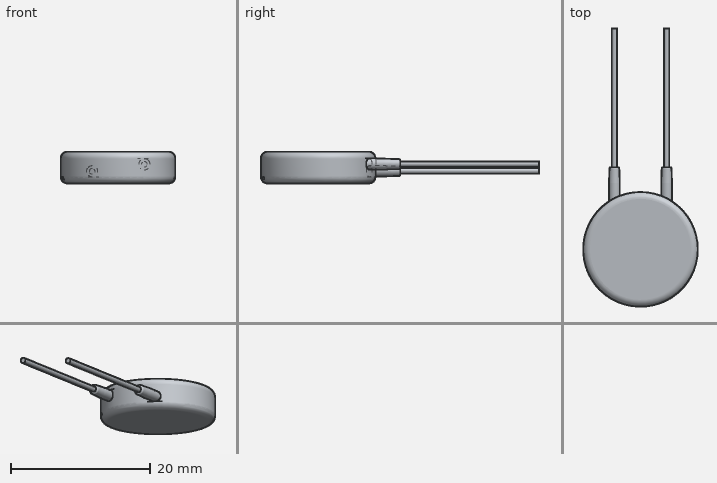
import cadquery as cq

overall_length = 40.0

disc_diameter = 16.5
disc_thickness = 4.6
disc_edge_radius = 1.0

lead_pitch = 7.5
lead_z_offset = 0.5
lead_diameter = 0.8

sleeve_diameter = 1.6
sleeve_tip_diameter = 1.44
sleeve_tip_rounding = 0.2
sleeve_protrusion = 3.55
sleeve_taper_length = 2.25

disc_radius = disc_diameter / 2
sleeve_end_y = disc_radius + sleeve_protrusion
sleeve_taper_y = sleeve_end_y - sleeve_taper_length
lead_end_y = overall_length - disc_radius
root_y = disc_radius / 2


def make_disc():
    disc = cq.Workplane("XY").circle(disc_radius).extrude(disc_thickness / 2, both=True)
    return disc.faces("|Z").edges().fillet(disc_edge_radius)


def make_sleeve():
    """Sleeve on the Y axis: straight root, slight taper, rounded tip."""
    profile = (
        cq.Workplane("XY")
        .moveTo(0, root_y)
        .lineTo(sleeve_diameter / 2, root_y)
        .lineTo(sleeve_diameter / 2, sleeve_taper_y)
        .lineTo(sleeve_tip_diameter / 2, sleeve_end_y)
        .lineTo(0, sleeve_end_y)
        .close()
    )
    sleeve = profile.revolve(360, (0, 0, 0), (0, 1, 0))
    return sleeve.faces(">Y").edges().fillet(sleeve_tip_rounding)


def make_lead():
    """Sleeved round wire on the Y axis, starting inside the disc."""
    wire = (
        cq.Workplane("XZ", origin=(0, root_y, 0))
        .circle(lead_diameter / 2)
        .extrude(root_y - lead_end_y)
    )
    return make_sleeve().union(wire)


result = make_disc()
for side in (-1, 1):
    lead = make_lead().translate((side * lead_pitch / 2, 0, side * lead_z_offset))
    result = result.union(lead)